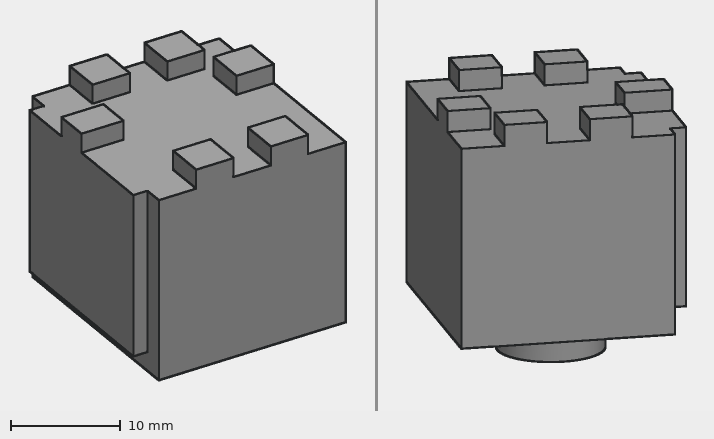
import cadquery as cq

BODY_X = 22.0
BODY_Y = 20.0
BODY_Z = 19.0

PLATE_THICKNESS = 1.5
PLATE_MARGIN = 2.0
PLATE_X = BODY_X - 2 * PLATE_MARGIN
PLATE_Z = BODY_Z - PLATE_MARGIN

BOSS_DIAMETER = 10.0
BOSS_HEIGHT = 2.5
BOSS_CENTER_X = PLATE_MARGIN + BOSS_DIAMETER / 2
BOSS_CENTER_Y = BODY_Y / 2

PAD_SIZE = 4.0
PAD_HEIGHT = 2.0
SIDE_PAD_PITCH = 2 * PAD_SIZE
SIDE_PAD_START_Y = PAD_SIZE
SIDE_PADS_PER_EDGE = 2
BACK_PAD_X = 5.5
FRONT_PAD_X = 7.5
FRONT_PAD_WIDTH = 3.5
FRONT_PAD_LENGTH = 4.5


def block(size, corner):
    """Box of the given size with its minimum corner at the given point."""
    return cq.Workplane("XY").box(*size, centered=False).translate(corner)


def pad(x, y, width=PAD_SIZE, length=PAD_SIZE):
    """Pad standing on the top face, with its near left corner at (x, y)."""
    return block((width, length, PAD_HEIGHT), (x, y, BODY_Z))


body = block((BODY_X, BODY_Y, BODY_Z), (0, 0, 0))

plate = block(
    (PLATE_X, PLATE_THICKNESS, PLATE_Z),
    (PLATE_MARGIN, -PLATE_THICKNESS, PLATE_MARGIN),
)

boss = (
    cq.Workplane("XY")
    .center(BOSS_CENTER_X, BOSS_CENTER_Y)
    .circle(BOSS_DIAMETER / 2)
    .extrude(-BOSS_HEIGHT)
)

result = body.union(plate).union(boss)

for pad_x in (0, BODY_X - PAD_SIZE):
    for index in range(SIDE_PADS_PER_EDGE):
        pad_y = SIDE_PAD_START_Y + index * SIDE_PAD_PITCH
        result = result.union(pad(pad_x, pad_y))

result = result.union(pad(BACK_PAD_X, BODY_Y - PAD_SIZE))
result = result.union(pad(FRONT_PAD_X, -PLATE_THICKNESS, FRONT_PAD_WIDTH, FRONT_PAD_LENGTH))